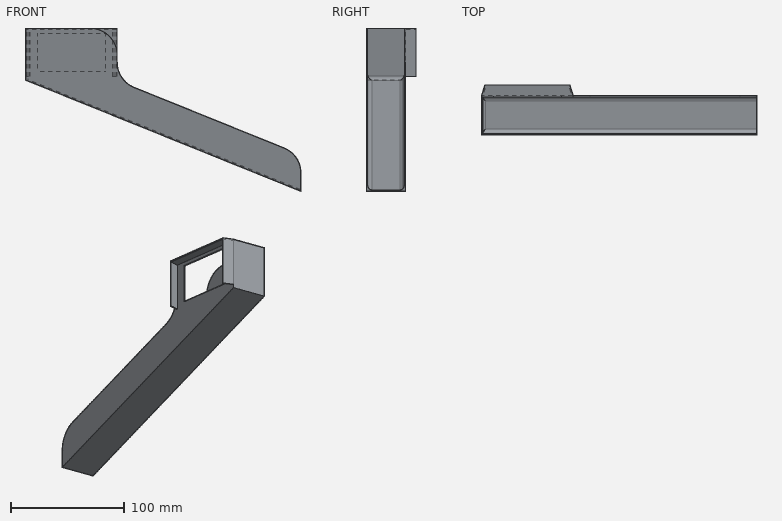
import cadquery as cq
import math

length = 243.5
height = 144.0
depth = 44.0
scoop_width = 34.8
wall = 1.2

head_length = 81.0
head_height = 45.8
arm_height = 32.4
outline_radius = 23.9
floor_radius = 4.0

mount_height = 42.5
mount_taper = 3.0
window_side_margin = 10.5
window_end_margin = 4.5

slope = (height - head_height) / length
lip_start = scoop_width - wall


def lower_edge(x):
    """Height of the sloping bottom edge at x; the top of the part is Z = 0."""
    return -head_height - slope * x


def along_y(plan, start, end):
    """Extrude an XZ outline from Y = start to Y = end."""
    return (
        cq.Workplane("XZ", origin=(0, start, 0))
        .polyline(plan)
        .close()
        .extrude(start - end)
    )


def round_edge(body, x, z, radius):
    """Round the edge parallel to Y that passes through (x, z)."""
    edge = cq.selectors.NearestToPointSelector((x, scoop_width / 2, z))
    return body.edges("|Y").edges(edge).fillet(radius)


def make_scoop():
    inside_corner_z = lower_edge(head_length) + arm_height
    tip_z = lower_edge(length) + arm_height
    outline = [
        (0, 0),
        (head_length, 0),
        (head_length, inside_corner_z),
        (length, tip_z),
        (length, lower_edge(length)),
        (0, lower_edge(0)),
    ]
    body = along_y(outline, 0, scoop_width)
    for x, z in outline[1:4]:
        body = round_edge(body, x, z, outline_radius)
    return body.cut(make_trough())


def make_trough():
    """Space between the walls, open at the top and at the low end."""
    floor_rise = wall * math.hypot(1, slope)
    open_end = length + wall
    outline = [
        (wall, wall),
        (open_end, wall),
        (open_end, lower_edge(open_end) + floor_rise),
        (wall, lower_edge(wall) + floor_rise),
    ]
    trough = along_y(outline, wall, scoop_width - wall)
    floor_edges = trough.faces("<Z").edges("not(>X)")
    return floor_edges.fillet(floor_radius)


def make_mount():
    """Block that narrows towards the back, with a straight base as thick as the wall."""
    plan = [
        (0, lip_start),
        (head_length, lip_start),
        (head_length, scoop_width),
        (head_length - mount_taper, depth),
        (mount_taper, depth),
        (0, scoop_width),
    ]
    return cq.Workplane("XY").polyline(plan).close().extrude(-mount_height)


def make_mount_hollow():
    """Hollow of the mount, open at the back and below, with side walls following the taper."""
    plan = [
        (wall, scoop_width),
        (head_length - wall, scoop_width),
        (head_length - mount_taper - wall, depth),
        (mount_taper + wall, depth),
    ]
    hollow_height = mount_height
    return (
        cq.Workplane("XY", origin=(0, 0, -wall))
        .polyline(plan)
        .close()
        .extrude(-hollow_height)
    )


def make_window():
    """Rectangular opening from the trough into the mount."""
    return cq.Workplane("XY").box(
        head_length - 2 * window_side_margin,
        wall,
        mount_height - 2 * window_end_margin,
    ).translate((head_length / 2, scoop_width - wall / 2, -mount_height / 2))


result = (
    make_scoop()
    .union(make_mount())
    .cut(make_mount_hollow())
    .cut(make_window())
)